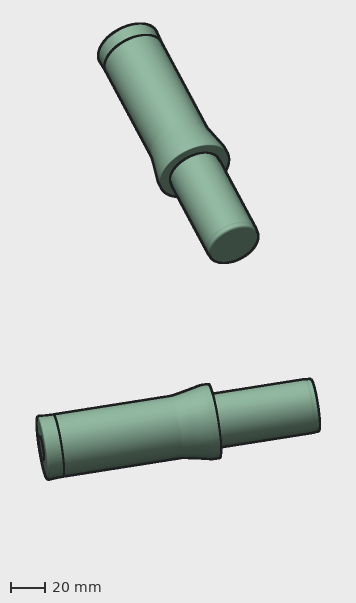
import cadquery as cq

LENGTH = 163.0
CAP_END = 10.0
NECK_START = 80.5
CONE_END = 98.1
FLANGE_END = 102.9

CROWN_HEIGHT = 0.4
CAP_FRONT_DIA = 38.0
CAP_REAR_DIA = 37.0
CAP_EDGE_RADIUS = 1.1
RING_INNER_DIA = 16.0
RING_OUTER_DIA = 21.2
RING_HEIGHT = 0.08
RING_SLOPE_WIDTH = 0.5

BARREL_DIA = 37.0
LEAD_IN_STEP = 0.08
LEAD_IN_LENGTH = 1.5
FLANGE_DIA = 44.0
NECK_BLEND_RADIUS = 4.9
FLANGE_BLEND_RADIUS = 4.9
FLANGE_EDGE_RADIUS = 0.5

SHANK_DIA = 32.0
RELIEF_DIA = 31.5
SHOULDER_RELIEF_LENGTH = 1.3
RELIEF_TAPER_LENGTH = 0.8
END_RELIEF_LENGTH = 3.0
SHANK_END_RADIUS = 1.5


def revolve_profile(profile):
    """Turn a closed (X, radius) profile about the X axis."""
    return profile.close().revolve(360, (0, 0, 0), (1, 0, 0))


def edges_at(body, x, diameter):
    """Select the circular edge of the given diameter at position x."""
    margin = 0.03
    reach = diameter / 2 + margin
    box = cq.selectors.BoxSelector((x - margin, -reach, -reach), (x + margin, reach, reach), boundingbox=True)
    return body.edges(box).edges(cq.selectors.RadiusNthSelector(-1))


def make_cap():
    face_x = RING_HEIGHT
    rim_x = face_x + CROWN_HEIGHT
    ring_inner = RING_INNER_DIA / 2
    ring_outer = RING_OUTER_DIA / 2
    profile = (
        cq.Workplane("XY")
        .moveTo(face_x, 0)
        .lineTo(face_x, ring_inner)
        .lineTo(0, ring_inner + RING_SLOPE_WIDTH)
        .lineTo(0, ring_outer - RING_SLOPE_WIDTH)
        .lineTo(face_x, ring_outer)
        .lineTo(rim_x, CAP_FRONT_DIA / 2)
        .lineTo(CAP_END, CAP_REAR_DIA / 2)
        .lineTo(CAP_END, 0)
    )
    cap = revolve_profile(profile)
    return edges_at(cap, rim_x, CAP_FRONT_DIA).fillet(CAP_EDGE_RADIUS)


def make_holder():
    barrel_radius = BARREL_DIA / 2
    flange_radius = FLANGE_DIA / 2
    shank_radius = SHANK_DIA / 2
    relief_radius = RELIEF_DIA / 2
    shoulder_relief_end = FLANGE_END + SHOULDER_RELIEF_LENGTH
    end_relief_start = LENGTH - END_RELIEF_LENGTH
    profile = (
        cq.Workplane("XY")
        .moveTo(CAP_END, 0)
        .lineTo(CAP_END, barrel_radius - LEAD_IN_STEP)
        .lineTo(CAP_END + LEAD_IN_LENGTH, barrel_radius)
        .lineTo(NECK_START, barrel_radius)
        .lineTo(CONE_END, flange_radius)
        .lineTo(FLANGE_END, flange_radius)
        .lineTo(FLANGE_END, relief_radius)
        .lineTo(shoulder_relief_end, relief_radius)
        .lineTo(shoulder_relief_end + RELIEF_TAPER_LENGTH, shank_radius)
        .lineTo(end_relief_start - RELIEF_TAPER_LENGTH, shank_radius)
        .lineTo(end_relief_start, relief_radius)
        .lineTo(LENGTH, relief_radius)
        .lineTo(LENGTH, 0)
    )
    holder = revolve_profile(profile)
    holder = edges_at(holder, NECK_START, BARREL_DIA).fillet(NECK_BLEND_RADIUS)
    holder = edges_at(holder, CONE_END, FLANGE_DIA).fillet(FLANGE_BLEND_RADIUS)
    holder = edges_at(holder, FLANGE_END, FLANGE_DIA).fillet(FLANGE_EDGE_RADIUS)
    return edges_at(holder, LENGTH, RELIEF_DIA).fillet(SHANK_END_RADIUS)


cap = make_cap()
holder = make_holder()
result = cq.Compound.makeCompound([cap.val(), holder.val()])